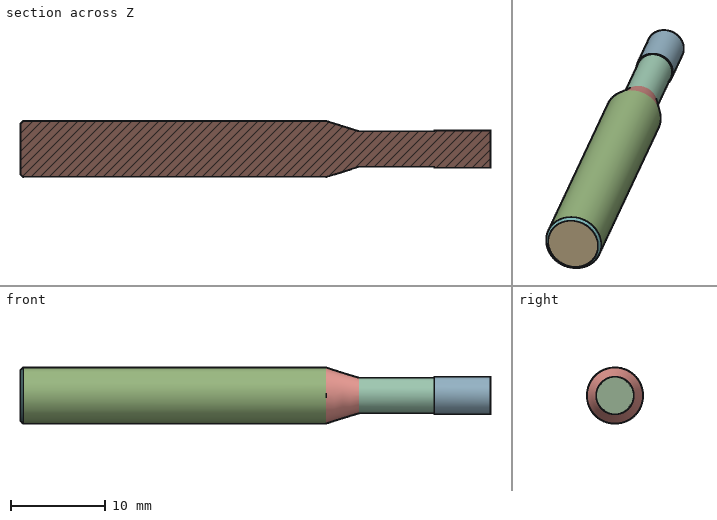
import cadquery as cq

total_length = 50.0
head_length = 6.0
neck_length = 8.0
cone_length = 3.5

shank_diameter = 6.0
neck_diameter = 3.8
head_diameter = 4.0

rear_chamfer = 0.3

head_start = total_length - head_length
neck_start = head_start - neck_length
cone_start = neck_start - cone_length

shank_radius = shank_diameter / 2
neck_radius = neck_diameter / 2
head_radius = head_diameter / 2

half_profile = (
    cq.Workplane("XY")
    .moveTo(0, 0)
    .lineTo(0, shank_radius - rear_chamfer)
    .lineTo(rear_chamfer, shank_radius)
    .lineTo(cone_start, shank_radius)
    .lineTo(neck_start, neck_radius)
    .lineTo(head_start, neck_radius)
    .lineTo(head_start, head_radius)
    .lineTo(total_length, head_radius)
    .lineTo(total_length, 0)
    .close()
)

result = half_profile.revolve(360, (0, 0, 0), (1, 0, 0))